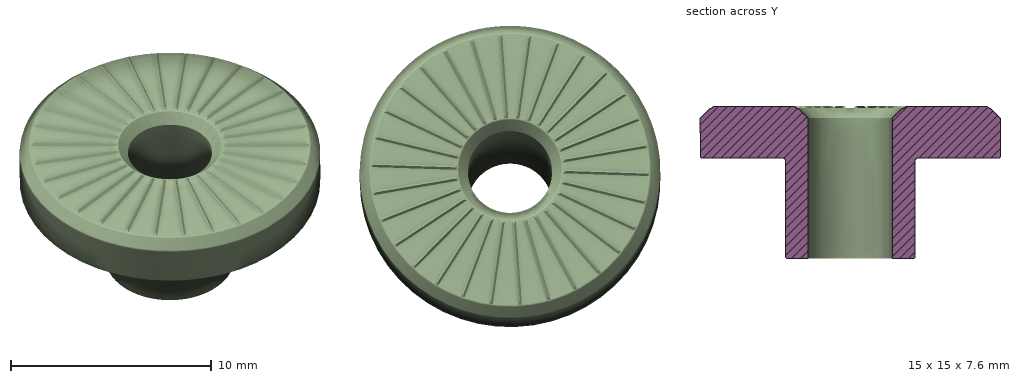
import cadquery as cq

head_diameter = 15.0
head_height = 2.5
stem_diameter = 6.5
stem_length = 5.0
bore_diameter = 4.2

rim_chamfer = 0.5
edge_round = 0.1

ridge_count = 30
ridge_height = 0.1
ridge_width = 0.2
ridge_end_gap = 0.06
ridge_end_slope = 0.15

head_radius = head_diameter / 2
stem_radius = stem_diameter / 2
bore_radius = bore_diameter / 2
head_top = stem_length + head_height

ridge_inner_radius = bore_radius + rim_chamfer + ridge_end_gap
ridge_outer_radius = head_radius - rim_chamfer - ridge_end_gap


def make_body():
    """Flanged bush, stem end on Z = 0, with its bore and edge treatments."""
    stem = cq.Workplane("XY").circle(stem_radius).extrude(stem_length)
    head = (
        cq.Workplane("XY")
        .workplane(offset=stem_length)
        .circle(head_radius)
        .extrude(head_height)
        .faces(">Z")
        .chamfer(rim_chamfer)
    )
    rounded = head.union(stem).edges("%CIRCLE").fillet(edge_round)
    bored = rounded.cut(cq.Workplane("XY").circle(bore_radius).extrude(head_top))
    mouth = bored.faces(">Z").edges(cq.selectors.RadiusNthSelector(0)).chamfer(rim_chamfer)
    mouth_edge = mouth.faces(">Z").edges(cq.selectors.RadiusNthSelector(0))
    return mouth_edge.fillet(edge_round)


def make_ridge():
    """Triangular ridge along +X with sloping ends, standing on the top face."""
    length = ridge_outer_radius - ridge_inner_radius
    prism = (
        cq.Workplane("YZ", origin=(ridge_inner_radius, 0, head_top))
        .polyline([(-ridge_width / 2, 0), (ridge_width / 2, 0), (0, ridge_height)])
        .close()
        .extrude(length)
    )
    side_shape = (
        cq.Workplane("XZ", origin=(0, ridge_width / 2, head_top))
        .polyline([
            (ridge_inner_radius, 0),
            (ridge_outer_radius, 0),
            (ridge_outer_radius - ridge_end_slope, ridge_height),
            (ridge_inner_radius + ridge_end_slope, ridge_height),
        ])
        .close()
        .extrude(ridge_width)
    )
    return prism.intersect(side_shape)


result = make_body()
ridge = make_ridge()
for index in range(ridge_count):
    angle = index * 360 / ridge_count
    result = result.union(ridge.rotate((0, 0, 0), (0, 0, 1), angle))